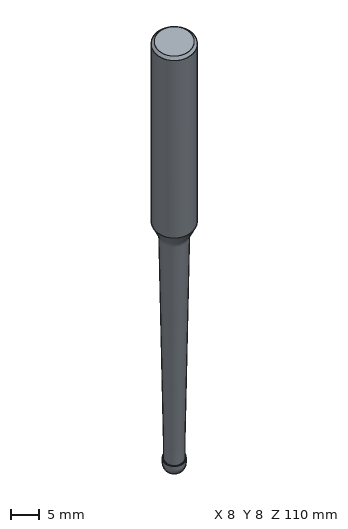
import cadquery as cq
import math


overall_length = 110.0
cutting_height = 3.2
neck_top = 6.2
taper_top = 60.2
blend_top = 61.2
flare_top = 63.9

shank_radius = 8.0 / 2
ball_radius = 2.1
neck_radius = 1.9
taper_top_radius = 5.4 / 2
blend_top_radius = 5.8 / 2

end_chamfer = 0.5


def revolve_about_axis(profile):
    """Turn a closed profile, drawn in radius and height, about the Z axis."""
    return profile.close().revolve(360, (0, 0, 0), (0, 1, 0))


def make_cutting_head():
    """Hemispherical tip below a short cylindrical band."""
    arc_middle = ball_radius * math.sqrt(0.5)
    profile = (
        cq.Workplane("XZ")
        .moveTo(0, 0)
        .threePointArc((arc_middle, ball_radius - arc_middle), (ball_radius, ball_radius))
        .lineTo(ball_radius, cutting_height)
        .lineTo(0, cutting_height)
    )
    return revolve_about_axis(profile)


def make_holder():
    """Neck, slender taper, rounded blend, conical flare and chamfered shank."""
    profile = (
        cq.Workplane("XZ")
        .moveTo(0, cutting_height)
        .lineTo(neck_radius, cutting_height)
        .lineTo(neck_radius, neck_top)
        .lineTo(taper_top_radius, taper_top)
        .tangentArcPoint((blend_top_radius, blend_top), relative=False)
        .lineTo(shank_radius, flare_top)
        .lineTo(shank_radius, overall_length - end_chamfer)
        .lineTo(shank_radius - end_chamfer, overall_length)
        .lineTo(0, overall_length)
    )
    return revolve_about_axis(profile)


cutting_head = make_cutting_head()
holder = make_holder()

result = cq.Compound.makeCompound([cutting_head.val(), holder.val()])